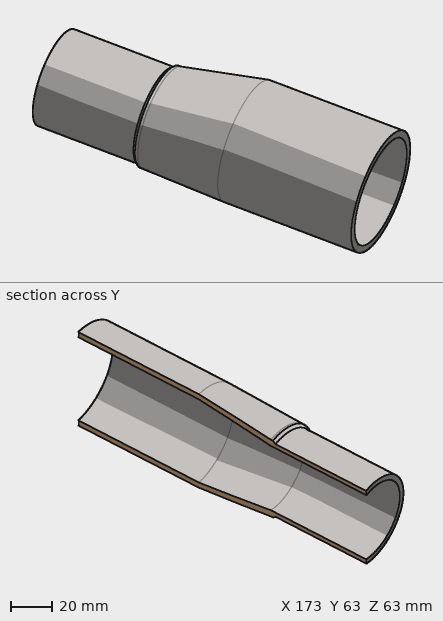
import cadquery as cq

total_length = 173.0
large_diameter = 63.0
small_diameter = 50.0
small_bore = 44.0
collar_diameter = 52.8

collar_start = 54.5
chamfer_end = 56.0
taper_start = 57.5
taper_end = 100.7

large_bore = large_diameter * small_bore / small_diameter

small_axis_y = -(large_diameter - collar_diameter) / 2


def cylinder(x_start, x_end, diameter, axis_y):
    """Solid round bar along X."""
    plane = cq.Workplane("YZ", origin=(x_start, axis_y, 0))
    return plane.circle(diameter / 2).extrude(x_end - x_start)


def cone(x_start, x_end, start_diameter, end_diameter, start_y, end_y):
    """Solid taper between two circles whose centres may be offset in Y."""
    return (
        cq.Workplane("YZ", origin=(x_start, 0, 0))
        .center(start_y, 0)
        .circle(start_diameter / 2)
        .workplane(offset=x_end - x_start)
        .center(end_y - start_y, 0)
        .circle(end_diameter / 2)
        .loft(ruled=True)
    )


def reducer(small_end_diameter, taper_diameter, large_end_diameter):
    """Straight small end, eccentric taper and straight large end."""
    small_end = cylinder(0, taper_start, small_end_diameter, small_axis_y)
    taper = cone(taper_start, taper_end, taper_diameter, large_end_diameter, small_axis_y, 0)
    large_end = cylinder(taper_end, total_length, large_end_diameter, 0)
    return small_end.union(taper).union(large_end)


body = reducer(small_diameter, collar_diameter, large_diameter)
collar_chamfer = cone(
    collar_start, chamfer_end, small_diameter, collar_diameter, small_axis_y, small_axis_y
)
collar_land = cylinder(chamfer_end, taper_start, collar_diameter, small_axis_y)
body = body.union(collar_chamfer).union(collar_land)

passage = reducer(small_bore, small_bore, large_bore)

result = body.cut(passage)